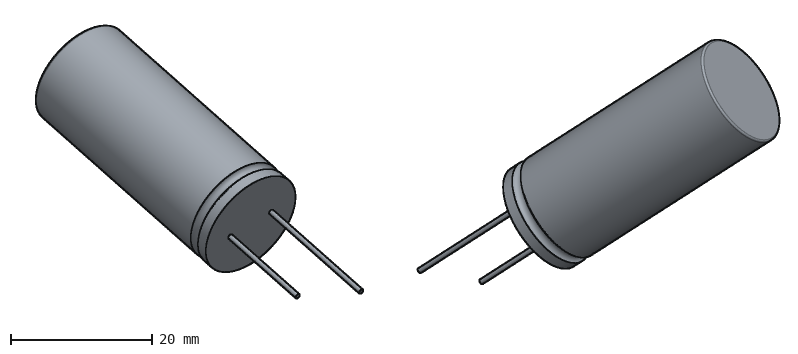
import cadquery as cq

can_diameter = 16.5
can_length = 38.01
end_round = 0.3

groove_radius = 0.8
groove_from_lead_face = 2.55

lead_diameter = 0.8
lead_spacing = 7.5
long_lead_length = 20.0
short_lead_length = 15.0

can_radius = can_diameter / 2


def make_can():
    """Cylinder with a rounded closed end and a groove around it near the lead face."""
    cylinder = (
        cq.Workplane("YZ", origin=(-can_length, 0, 0))
        .circle(can_radius)
        .extrude(can_length)
        .faces("<X").edges().fillet(end_round)
    )
    groove = cq.Workplane("XY").add(
        cq.Solid.makeTorus(
            can_radius,
            groove_radius,
            cq.Vector(-groove_from_lead_face, 0, 0),
            cq.Vector(1, 0, 0),
        )
    )
    return cylinder.cut(groove)


def make_lead(y, length):
    """Round wire standing on the lead face at the given Y."""
    return (
        cq.Workplane("YZ", origin=(0, y, 0))
        .circle(lead_diameter / 2)
        .extrude(length)
    )


can = make_can()

lead_layout = [
    (lead_spacing / 2, long_lead_length),
    (-lead_spacing / 2, short_lead_length),
]
leads = [make_lead(y, length) for y, length in lead_layout]

result = cq.Compound.makeCompound([can.val(), *[lead.val() for lead in leads]])